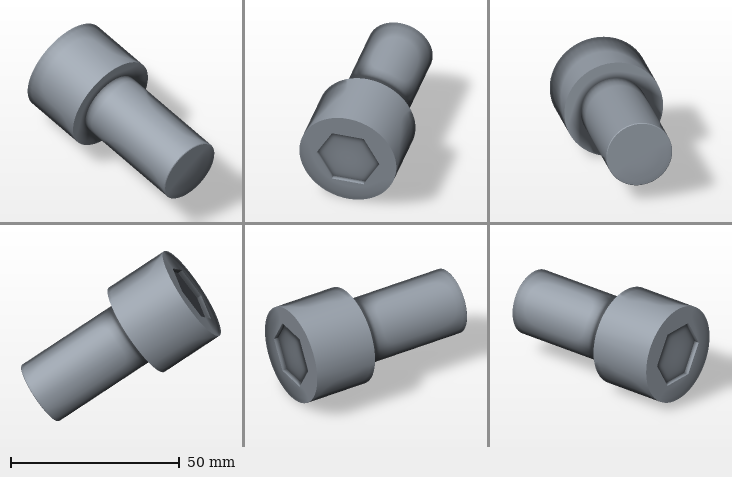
import cadquery as cq
import math

total_length = 55.0
head_diameter = 30.0
shank_diameter = 20.0
head_length = shank_diameter
shank_length = total_length - head_length
tip_chamfer = 0.2

socket_across_flats = 17.0
socket_across_corners = socket_across_flats / math.cos(math.pi / 6)
socket_depth = 1.5


def make_head():
    return cq.Workplane("YZ").circle(head_diameter / 2).extrude(head_length)


def make_shank():
    shank = (
        cq.Workplane("YZ", origin=(head_length, 0, 0))
        .circle(shank_diameter / 2)
        .extrude(shank_length)
    )
    return shank.faces(">X").chamfer(tip_chamfer)


def make_socket():
    return cq.Workplane("YZ").polygon(6, socket_across_corners).extrude(socket_depth)


result = make_head().union(make_shank()).cut(make_socket())